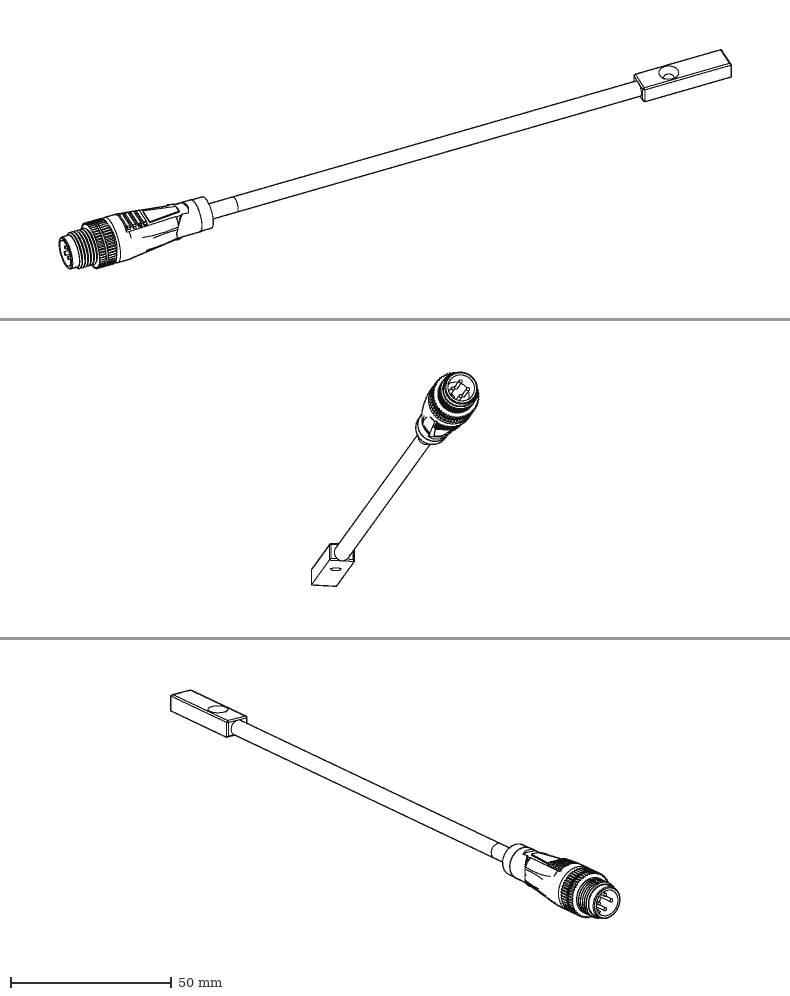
import cadquery as cq
import math

overall_length = 225.1

sensor_length = 30.0
sensor_width = 8.0
cable_radius = 2.5
sensor_bottom = -cable_radius
sensor_top = 3.0
sensor_chamfer = 0.5
sensor_rear = overall_length - sensor_length
cable_end = 57.8
screw_hole_y = sensor_rear + 10.4
screw_hole_radius = 1.6
countersink_radius = 3.1
countersink_depth = 2.0

tip_radius = 5.2
tip_length = 2.6
tip_chamfer = 0.3
thread_radius = 5.9
thread_pitch = 1.0
thread_depth = 0.5
thread_turns = 6

nut_radius = 14.8 / 2
nut_front = tip_length + thread_turns * thread_pitch
nut_rear = 14.4
knurl_count = 48
knurl_depth = 0.4
nut_groove_y = 11.2
nut_groove_width = 0.7
nut_groove_depth = 0.4

neck_radius = 4.8
grip_front = 15.6
grip_radius = 7.4
taper_front = 20.0
taper_middle = 32.5
taper_middle_radius = 6.3
taper_rear = 39.5
sleeve_radius = 5.25
sleeve_rear = 48.2
collar_front = 44.3
collar_radius = 5.15

arch_apex = 35.6
arch_half_height = 5.0

flat_rear = 36.5
flat_rear_radius = 5.5
flat_front = 19.8
side_flat_angles = (0, 180)
corner_flat_angles = (45, 135, 225, 315)
corner_flat_extra_depth = 0.1

recess_front = 19.0
recess_rear = 41.6
recess_shoulder = 34.0
recess_front_half_width = 4.8
recess_shoulder_half_width = 4.1
recess_front_height = 5.8
recess_rear_height = 4.5
pad_front = 27.6
pad_rear = 38.3
pad_front_half_width = 2.8
pad_rear_half_width = 1.2
pad_height = 0.4
rib_height = 1.0
rib_count = 4
rib_pitch = 1.9
rib_width = 1.0
rib_half_width = 3.6
first_rib_y = 20.2

socket_radius = 4.2
socket_depth = 8.5
pin_radius = 0.5
pin_circle_radius = 2.4
pin_recess = 1.0
pin_count = 4
key_angle = 225
key_width = 1.2
key_height = 0.9

far = 2 * nut_radius


def cylinder(radius, y_start, y_end):
    """A round bar on the Y axis."""
    plane = cq.Workplane("XZ", origin=(0, y_start, 0))
    return plane.circle(radius).extrude(y_start - y_end)


def ring(outer, inner, y_start, y_end):
    """A tube on the Y axis."""
    plane = cq.Workplane("XZ", origin=(0, y_start, 0))
    return plane.circle(outer).circle(inner).extrude(y_start - y_end)


def around_y(shape, angle):
    """Turn a shape about the Y axis, from +X toward +Z."""
    return shape.rotate((0, 0, 0), (0, 1, 0), -angle)


def make_sensor():
    """Sensor block with a countersunk screw hole, and the cable that leaves it."""
    height = sensor_top - sensor_bottom
    block = cq.Workplane("XY").box(sensor_width, sensor_length, height)
    block = block.faces(">Z or <Y").edges().chamfer(sensor_chamfer)
    block = block.translate((0, sensor_rear + sensor_length / 2, (sensor_top + sensor_bottom) / 2))
    hole = (
        cq.Workplane("XZ", origin=(0, screw_hole_y, 0))
        .moveTo(0, sensor_bottom)
        .lineTo(screw_hole_radius, sensor_bottom)
        .lineTo(screw_hole_radius, sensor_top - countersink_depth)
        .lineTo(countersink_radius, sensor_top)
        .lineTo(0, sensor_top)
        .close()
        .revolve(360, (0, 0, 0), (0, 1, 0))
    )
    cable = cylinder(cable_radius, cable_end, sensor_rear + sensor_chamfer)
    return block.cut(hole).union(cable)


def make_threaded_tip():
    """Plain tip followed by a run of V-shaped thread ridges, with the neck behind."""
    profile = cq.Workplane("XY").moveTo(0, 0).lineTo(tip_radius - tip_chamfer, 0)
    profile = profile.lineTo(tip_radius, tip_chamfer).lineTo(tip_radius, tip_length)
    root_radius = thread_radius - thread_depth
    for turn in range(thread_turns):
        ridge_start = tip_length + turn * thread_pitch
        profile = profile.lineTo(root_radius, ridge_start)
        profile = profile.lineTo(thread_radius, ridge_start + thread_pitch / 2)
    profile = profile.lineTo(root_radius, nut_front).lineTo(neck_radius, nut_front)
    profile = profile.lineTo(neck_radius, grip_front).lineTo(0, grip_front).close()
    return profile.revolve(360, (0, 0, 0), (0, 1, 0))


def make_nut():
    """Nut with straight knurling, split into two bands by a plain groove."""
    outline = []
    for step in range(2 * knurl_count):
        radius = nut_radius - knurl_depth * (step % 2)
        angle = math.pi * step / knurl_count
        outline.append((radius * math.cos(angle), radius * math.sin(angle)))
    nut = cq.Workplane("XZ", origin=(0, nut_front, 0)).polyline(outline).close()
    nut = nut.extrude(nut_front - nut_rear)
    groove_start = nut_groove_y - nut_groove_width / 2
    groove_bottom = nut_radius - nut_groove_depth
    return nut.cut(ring(far, groove_bottom, groove_start, groove_start + nut_groove_width))


def make_flat_cutter(angle, extra_depth):
    """Wedge whose sloping face planes a long flat on the taper at the given angle."""
    wedge = (
        cq.Workplane("XY")
        .moveTo(flat_rear_radius - extra_depth, flat_rear)
        .lineTo(grip_radius - extra_depth, flat_front)
        .lineTo(far, flat_front)
        .lineTo(far, flat_rear)
        .close()
        .extrude(nut_radius, both=True)
    )
    return around_y(wedge, angle)


def make_arch_cutter():
    """Bar across the grip whose front end is an arch, seen from the sides."""
    return (
        cq.Workplane("YZ")
        .moveTo(taper_rear, -arch_half_height)
        .threePointArc((arch_apex, 0), (taper_rear, arch_half_height))
        .close()
        .extrude(far, both=True)
    )


def recess_floor(y):
    """Height of the sloping recess floor at a place along the axis."""
    share = (y - recess_front) / (recess_rear - recess_front)
    return recess_front_height + share * (recess_rear_height - recess_front_height)


def layer_above_floor(offset_low, offset_high):
    """Slab lying along the recess floor between two offsets from it."""
    front = recess_floor(recess_front)
    rear = recess_floor(recess_rear)
    return (
        cq.Workplane("YZ")
        .moveTo(recess_front, front + offset_low)
        .lineTo(recess_rear, rear + offset_low)
        .lineTo(recess_rear, rear + offset_high)
        .lineTo(recess_front, front + offset_high)
        .close()
        .extrude(far, both=True)
    )


def make_recess_cutter():
    """Bullet-shaped recess with a raised arrow pad and cross ribs left standing in it."""
    bullet = (
        cq.Workplane("XY")
        .moveTo(-recess_front_half_width, recess_front)
        .lineTo(recess_front_half_width, recess_front)
        .lineTo(recess_shoulder_half_width, recess_shoulder)
        .threePointArc((0, recess_rear), (-recess_shoulder_half_width, recess_shoulder))
        .close()
        .extrude(far)
    )
    pad = (
        cq.Workplane("XY")
        .moveTo(-pad_front_half_width, pad_front)
        .lineTo(pad_front_half_width, pad_front)
        .lineTo(pad_rear_half_width, pad_rear)
        .lineTo(-pad_rear_half_width, pad_rear)
        .close()
        .extrude(far)
    )
    rib_centers = [(0, first_rib_y + rib * rib_pitch) for rib in range(rib_count)]
    ribs = cq.Workplane("XY").pushPoints(rib_centers).rect(2 * rib_half_width, rib_width).extrude(far)
    recess = bullet.intersect(layer_above_floor(0, far))
    recess = recess.cut(pad.intersect(layer_above_floor(0, pad_height)))
    return recess.cut(ribs.intersect(layer_above_floor(0, rib_height)))


def make_grip():
    """Tapered grip with arched shoulders, long flats, thumb recesses and a rear collar."""
    grip = (
        cq.Workplane("XY")
        .moveTo(0, grip_front)
        .lineTo(grip_radius, grip_front)
        .lineTo(grip_radius, taper_front)
        .threePointArc((taper_middle_radius, taper_middle), (sleeve_radius, taper_rear))
        .lineTo(0, taper_rear)
        .close()
        .revolve(360, (0, 0, 0), (0, 1, 0))
    )
    grip = grip.cut(make_arch_cutter())
    for angle in side_flat_angles:
        grip = grip.cut(make_flat_cutter(angle, 0))
    for angle in corner_flat_angles:
        grip = grip.cut(make_flat_cutter(angle, corner_flat_extra_depth))
    grip = grip.union(cylinder(sleeve_radius, grip_front, collar_front))
    recess = make_recess_cutter()
    grip = grip.cut(recess).cut(around_y(recess, 180))
    return grip.union(cylinder(collar_radius, collar_front, sleeve_rear))


def make_connector():
    """Plug, nut, grip and cable stub, with the pin socket sunk into the tip."""
    connector = make_threaded_tip().union(make_nut()).union(make_grip())
    connector = connector.union(cylinder(cable_radius, sleeve_rear, cable_end))
    connector = connector.cut(cylinder(socket_radius, 0, socket_depth))
    for pin in range(pin_count):
        pin_bar = cylinder(pin_radius, pin_recess, socket_depth + pin_recess)
        pin_bar = pin_bar.translate((pin_circle_radius, 0, 0))
        connector = connector.union(around_y(pin_bar, 360 / pin_count * pin))
    key_outer = (socket_radius + tip_radius) / 2
    key_inner = socket_radius - key_height
    key = cq.Workplane("XY").box(
        key_outer - key_inner, socket_depth - pin_recess, key_width, centered=(False, False, True)
    )
    key = around_y(key.translate((key_inner, pin_recess, 0)), key_angle)
    return connector.union(key)


sensor = make_sensor()
connector = make_connector()
result = cq.Compound.makeCompound([sensor.val(), connector.val()])